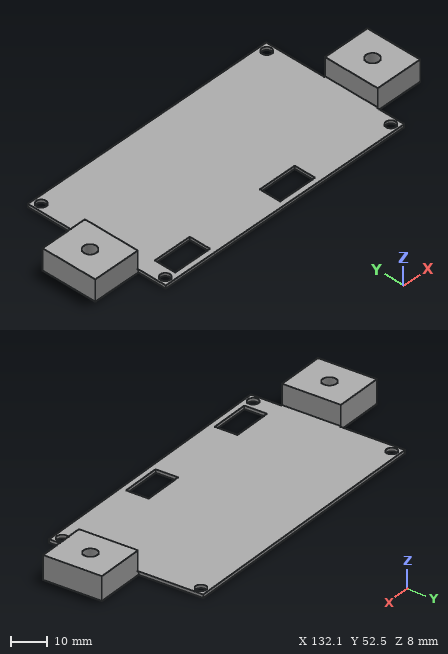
import cadquery as cq

plate_length = 97.0
plate_width = 52.5
plate_thickness = 1.2
corner_hole_diameter = 3.6
corner_hole_inset = 2.6

overall_length = 132.1
block_length = 17.3
block_width = 20.1
block_height = 8.0
block_y = -5.8
block_hole_diameter = 4.6

window_length = 14.1
window_width = 7.7
window_y = -20.3
window_centers_x = (-35.4, 7.3)

block_x = (overall_length - block_length) / 2


def make_plate():
    """Thin plate with a hole in each corner and two windows."""
    plate = cq.Workplane("XY").box(
        plate_length, plate_width, plate_thickness, centered=(True, True, False)
    )
    plate = (
        plate.faces(">Z").workplane()
        .rect(
            plate_length - 2 * corner_hole_inset,
            plate_width - 2 * corner_hole_inset,
            forConstruction=True,
        )
        .vertices()
        .hole(corner_hole_diameter)
    )
    windows = (
        cq.Workplane("XY")
        .pushPoints([(x, window_y) for x in window_centers_x])
        .rect(window_length, window_width)
        .extrude(plate_thickness)
    )
    return plate.cut(windows)


def make_block(x):
    """Raised block with a vertical through hole."""
    return (
        cq.Workplane("XY")
        .center(x, block_y)
        .rect(block_length, block_width)
        .circle(block_hole_diameter / 2)
        .extrude(block_height)
    )


def make_bridges():
    """Thin strips bridging the small gaps between the plate ends and the blocks."""
    blocks_gap = overall_length - 2 * block_length
    bridge_length = (blocks_gap - plate_length) / 2
    bridge_x = (blocks_gap - bridge_length) / 2
    return (
        cq.Workplane("XY")
        .pushPoints([(-bridge_x, block_y), (bridge_x, block_y)])
        .rect(bridge_length, block_width)
        .extrude(plate_thickness)
    )


result = make_plate().union(make_bridges())
for side in (-1, 1):
    result = result.union(make_block(side * block_x))